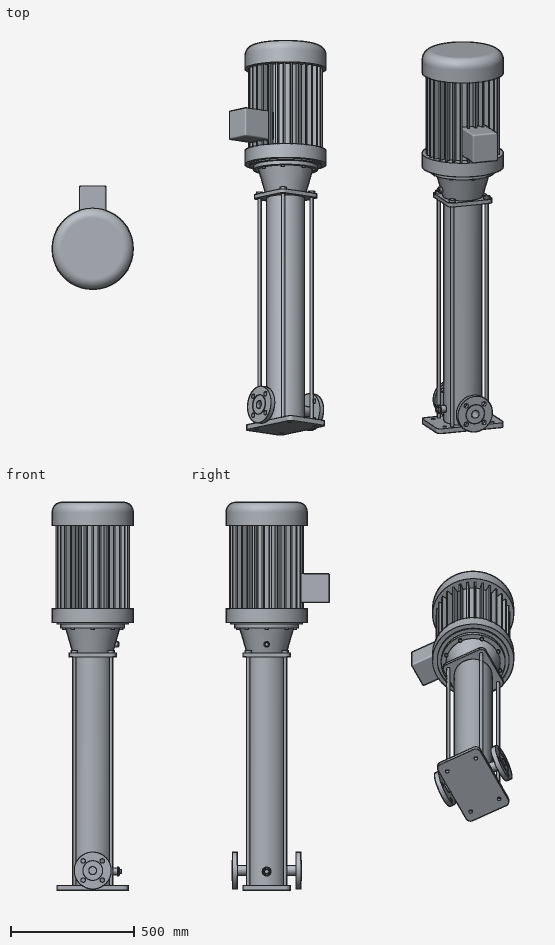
import cadquery as cq


total_height = 1575.0

base_length = 290.0
plate_width = 192.0
plate_corner_radius = 20.0
base_thickness = 20.0
base_hole_diameter = 14.0
base_hole_x = 104.0
base_hole_y = 65.0
top_plate_z = 947.0
top_plate_thickness = 16.0
top_plate_top = top_plate_z + top_plate_thickness

sleeve_diameter = 155.0
rod_diameter = 14.0
rod_offset = 75.0
nut_diameter = 26.0
nut_height = 10.0

port_z = 80.0
port_face_y = 141.0
pipe_diameter = 42.0
bore_diameter = 32.0
flange_diameter = 150.0
flange_thickness = 20.0
raised_face_diameter = 80.0
raised_face_height = 2.0
flange_hole_diameter = 18.0
flange_hole_circle = 110.0
flange_hole_count = 4
first_flange_hole_angle = 45.0

plug_z = 76.0
plug_collar_chamfer = 4.0
plug_boss_diameter = 30.0
plug_boss_end = 100.0
plug_collar_diameter = 36.0
plug_collar_end = 108.0
plug_head_diameter = 18.0
plug_head_end = 116.0

cone_bottom_radius = 81.0
cone_top_radius = 110.0
adapter_flange_diameter = 260.0
adapter_flange_z = 1064.0
adapter_bolt_circle = 230.0
adapter_bolt_diameter = 14.0
adapter_bolt_head = 6.0
adapter_bolt_count = 8
spigot_diameter = 292.0
spigot_height = 6.0

vent_diameter = 22.0
vent_chamfer = 4.0
vent_end = 107.0
vent_z = 998.0

motor_diameter = 330.0
lower_ring_z = 1086.0
lower_ring_height = 57.0
cap_height = 95.0
cap_edge_radius = 40.0
fin_circle_diameter = 300.0
core_diameter = 244.0
fin_thickness = 7.0
fin_count = 30
ring_top = lower_ring_z + lower_ring_height
cap_z = total_height - cap_height
fin_length = cap_z - ring_top

box_width = 108.0
box_height = 118.0
box_bottom_z = 1167.0
box_back_y = 255.0
box_inner_y = 100.0
box_edge_radius = 6.0


def cylinder_z(diameter, bottom, height):
    """A cylinder on the pump axis."""
    return cq.Workplane("XY").workplane(offset=bottom).circle(diameter / 2).extrude(height)


def cylinder_x(diameter, end, z):
    """A cylinder along +X from the pump axis to x = end."""
    return cq.Workplane("YZ", origin=(0, 0, z)).circle(diameter / 2).extrude(end)


def corners(x, y):
    """The four corner points of a rectangle centred on the axis."""
    return [(x, y), (-x, y), (-x, -y), (x, -y)]


def plate(length, bottom, thickness):
    """A plate with rounded corners."""
    blank = cq.Workplane("XY").workplane(offset=bottom).rect(length, plate_width).extrude(thickness)
    return blank.edges("|Z").fillet(plate_corner_radius)


def base_plate():
    body = plate(base_length, 0, base_thickness)
    holes = body.faces(">Z").workplane(origin=(0, 0)).pushPoints(corners(base_hole_x, base_hole_y))
    return holes.hole(base_hole_diameter)


def sleeve_and_rods():
    """The outer sleeve, the four tie rods, the top plate and the nuts on it."""
    span = top_plate_z - base_thickness
    rod_places = corners(rod_offset, rod_offset)
    rod_start = cq.Workplane("XY").workplane(offset=base_thickness).pushPoints(rod_places)
    nut_start = cq.Workplane("XY").workplane(offset=top_plate_top).pushPoints(rod_places)
    body = cylinder_z(sleeve_diameter, base_thickness, span)
    body = body.union(rod_start.circle(rod_diameter / 2).extrude(span))
    body = body.union(plate(plate_width, top_plate_z, top_plate_thickness))
    return body.union(nut_start.circle(nut_diameter / 2).extrude(nut_height))


def port_solid():
    """The pipe and flange of the -Y port, without its bore and bolt holes."""
    back_y = port_face_y - raised_face_height
    face = cq.Workplane("XZ", origin=(0, 0, port_z))
    pipe = face.circle(pipe_diameter / 2).extrude(back_y)
    raised = face.workplane(offset=back_y).circle(raised_face_diameter / 2).extrude(raised_face_height)
    flange = face.workplane(offset=back_y).circle(flange_diameter / 2).extrude(-flange_thickness)
    return pipe.union(flange).union(raised)


def port_holes():
    """The bore, which stops at the sleeve, and the bolt holes of the -Y port."""
    face = cq.Workplane("XZ", origin=(0, -port_face_y, port_z))
    bore = face.circle(bore_diameter / 2).extrude(sleeve_diameter / 2 - port_face_y)
    bolt_places = face.polarArray(flange_hole_circle / 2, first_flange_hole_angle, 360, flange_hole_count)
    bolts = bolt_places.circle(flange_hole_diameter / 2).extrude(-flange_thickness - raised_face_height)
    return bore.union(bolts)


def drain_plug():
    boss = cylinder_x(plug_boss_diameter, plug_boss_end, plug_z)
    collar = cylinder_x(plug_collar_diameter, plug_collar_end - plug_boss_end, plug_z)
    collar = collar.faces(">X").chamfer(plug_collar_chamfer)
    head = cylinder_x(plug_head_diameter, plug_head_end, plug_z)
    return boss.union(collar.translate((plug_boss_end, 0, 0))).union(head)


def adapter():
    """The cone with its vent plug, the bolted flange and the spigot under the motor."""
    profile = [
        (0, top_plate_top),
        (cone_bottom_radius, top_plate_top),
        (cone_top_radius, adapter_flange_z),
        (0, adapter_flange_z),
    ]
    cone = cq.Workplane("XZ").polyline(profile).close().revolve(360, (0, 0, 0), (0, 1, 0))
    spigot_z = lower_ring_z - spigot_height
    flange = cylinder_z(adapter_flange_diameter, adapter_flange_z, spigot_z - adapter_flange_z)
    spigot = cylinder_z(spigot_diameter, spigot_z, spigot_height)
    heads = (
        cq.Workplane("XY").workplane(offset=adapter_flange_z)
        .polarArray(adapter_bolt_circle / 2, 0, 360, adapter_bolt_count)
        .circle(adapter_bolt_diameter / 2).extrude(-adapter_bolt_head)
    )
    vent = cylinder_x(vent_diameter, vent_end, vent_z).faces(">X").chamfer(vent_chamfer)
    return cone.union(flange).union(spigot).union(heads).union(vent)


def fins():
    """Radial cooling fins; one of them points along -Y."""
    fin_radius = fin_circle_diameter / 2
    fin = (
        cq.Workplane("XY").workplane(offset=ring_top)
        .center(0, -fin_radius / 2).rect(fin_thickness, fin_radius).extrude(fin_length)
    )
    body = cylinder_z(core_diameter, ring_top, fin_length)
    for index in range(fin_count):
        body = body.union(fin.rotate((0, 0, 0), (0, 0, 1), index * 360 / fin_count))
    return body


def terminal_box():
    depth = box_back_y - box_inner_y
    box = cq.Workplane("XY").box(box_width, depth, box_height, centered=(True, False, False))
    box = box.edges("|Y or >Y").fillet(box_edge_radius)
    return box.translate((0, box_inner_y, box_bottom_z))


def motor():
    ring = cylinder_z(motor_diameter, lower_ring_z, lower_ring_height)
    cap = cylinder_z(motor_diameter, cap_z, cap_height).faces(">Z").edges().fillet(cap_edge_radius)
    return fins().union(ring).union(cap).union(terminal_box())


result = base_plate().union(sleeve_and_rods()).union(drain_plug())
for turn in (0, 180):
    result = result.union(port_solid().rotate((0, 0, 0), (0, 0, 1), turn))
    result = result.cut(port_holes().rotate((0, 0, 0), (0, 0, 1), turn))
result = result.union(adapter()).union(motor())